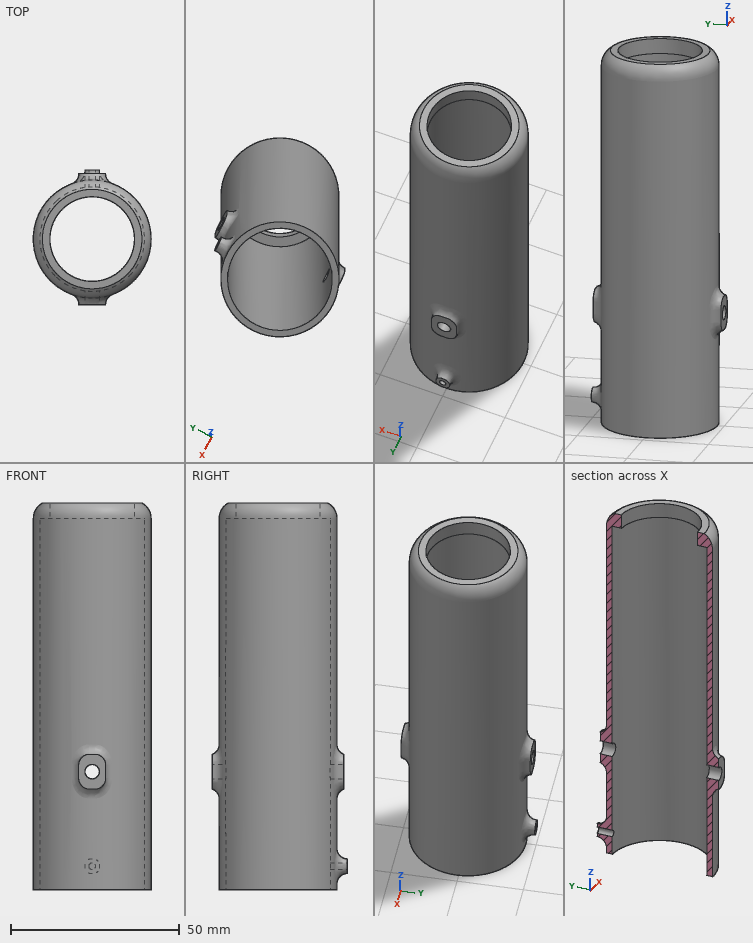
import cadquery as cq

outer_radius = 17.5
bore_radius = 15.5
mouth_radius = 12.5
shoulder_height = 110.0
overall_height = 114.61
rim_radius = 14.75

pad_width = 8.0
pad_height = 10.0
pad_corner_radius = 3.0
pad_centre_z = 35.0
pad_face_distance = 19.5
cross_hole_diameter = 4.2

boss_width = 4.4
boss_corner_radius = 2.0
boss_centre_z = 7.0
boss_face_distance = 20.5
boss_hole_diameter = 2.0

root_fillet = 3.0
blank_distance = 25.0


def make_tube_blank():
    """Solid tube outline: straight wall, then an arc tangent to it up to the flat rim."""
    return (
        cq.Workplane("XZ")
        .lineTo(outer_radius, 0)
        .lineTo(outer_radius, shoulder_height)
        .tangentArcPoint((rim_radius, overall_height), relative=False)
        .lineTo(0, overall_height)
        .close()
        .revolve(360, (0, 0, 0), (0, 1, 0))
    )


def make_bore():
    wide = cq.Workplane("XY").circle(bore_radius).extrude(shoulder_height)
    mouth = cq.Workplane("XY").circle(mouth_radius).extrude(overall_height)
    return wide.union(mouth)


def side_plane(side, z):
    """Sketch plane through the tube axis, facing +Y (side = 1) or -Y (side = -1)."""
    return cq.Workplane(cq.Plane(origin=(0, 0, z), xDir=(1, 0, 0), normal=(0, side, 0)))


def add_blended(body, blank, side, z, face_distance):
    """Join a radial blank to the tube, blend its root and trim it to its flat face."""
    root_edges = cq.selectors.BoxSelector(
        (-outer_radius / 2, side * bore_radius, z - pad_height),
        (outer_radius / 2, side * (outer_radius + root_fillet / 2), z + pad_height),
        boundingbox=True,
    )
    blended = body.union(blank).edges(root_edges).fillet(root_fillet)
    beyond_face = (
        side_plane(side, z)
        .workplane(offset=face_distance)
        .rect(2 * outer_radius, 2 * outer_radius)
        .extrude(blank_distance)
    )
    return blended.cut(beyond_face)


def rounded_blank(side, z, width, height, corner_radius):
    """Overlong radial bar with a rounded rectangular section."""
    return (
        side_plane(side, z)
        .rect(width, height)
        .extrude(blank_distance)
        .edges("|Y")
        .fillet(corner_radius)
    )


def add_pad(body, side):
    blank = rounded_blank(side, pad_centre_z, pad_width, pad_height, pad_corner_radius)
    return add_blended(body, blank, side, pad_centre_z, pad_face_distance)


def add_boss(body):
    blank = rounded_blank(1, boss_centre_z, boss_width, boss_width, boss_corner_radius)
    return add_blended(body, blank, 1, boss_centre_z, boss_face_distance)


def make_holes():
    cross_hole = (
        side_plane(1, pad_centre_z)
        .circle(cross_hole_diameter / 2)
        .extrude(blank_distance, both=True)
    )
    boss_hole = side_plane(1, boss_centre_z).circle(boss_hole_diameter / 2).extrude(blank_distance)
    return cross_hole.union(boss_hole)


body = make_tube_blank()
for pad_side in (1, -1):
    body = add_pad(body, pad_side)
body = add_boss(body)
result = body.cut(make_bore()).cut(make_holes())